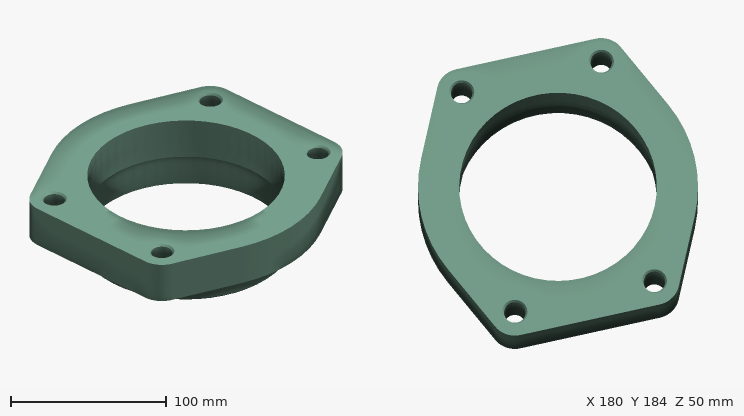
import cadquery as cq
import math

plate_length = 184.0
plate_thickness = 28.0
side_radius = 90.0
corner_radius = 16.0
hole_x = 46.0
hole_y = plate_length / 2 - corner_radius

spigot_diameter = 139.7
spigot_height = 22.0
spigot_chamfer = 1.3
root_fillet = 2.0

bore_diameter = 127.0
lower_bore_diameter = 131.7

hole_diameter = 13.8
hole_mouth_diameter = 16.2
hole_mouth_angle = 90.0

total_height = spigot_height + plate_thickness


def make_plate():
    """Round-sided plate whose sides run tangentially into four rounded corners."""
    center_distance = math.hypot(hole_x, hole_y)
    tangent_angle = math.atan2(hole_y, hole_x) - math.acos(
        (side_radius - corner_radius) / center_distance
    )
    side_x = side_radius * math.cos(tangent_angle)
    side_y = side_radius * math.sin(tangent_angle)
    corner_x = hole_x + corner_radius * math.cos(tangent_angle)
    corner_y = hole_y + corner_radius * math.sin(tangent_angle)
    middle_angle = (tangent_angle + math.pi / 2) / 2
    middle_x = hole_x + corner_radius * math.cos(middle_angle)
    middle_y = hole_y + corner_radius * math.sin(middle_angle)
    edge_y = plate_length / 2

    return (
        cq.Workplane("XY", origin=(0, 0, spigot_height))
        .moveTo(side_x, -side_y)
        .threePointArc((side_radius, 0), (side_x, side_y))
        .lineTo(corner_x, corner_y)
        .threePointArc((middle_x, middle_y), (hole_x, edge_y))
        .lineTo(-hole_x, edge_y)
        .threePointArc((-middle_x, middle_y), (-corner_x, corner_y))
        .lineTo(-side_x, side_y)
        .threePointArc((-side_radius, 0), (-side_x, -side_y))
        .lineTo(-corner_x, -corner_y)
        .threePointArc((-middle_x, -middle_y), (-hole_x, -edge_y))
        .lineTo(hole_x, -edge_y)
        .threePointArc((middle_x, -middle_y), (corner_x, -corner_y))
        .close()
        .extrude(plate_thickness)
    )


def make_spigot():
    """Round spigot, chamfered at its free end."""
    return (
        cq.Workplane("XY")
        .circle(spigot_diameter / 2)
        .extrude(spigot_height)
        .faces("<Z")
        .chamfer(spigot_chamfer)
    )


def fillet_root(body):
    """Round the inner corner between spigot and plate."""
    root_center = (0, 0, spigot_height)
    return body.edges(cq.NearestToPointSelector(root_center)).fillet(root_fillet)


def cut_bore(body):
    """Cut the bore through the plate and the wider bore through the spigot."""
    bore = cq.Workplane("XY").circle(bore_diameter / 2).extrude(total_height)
    lower_bore = cq.Workplane("XY").circle(lower_bore_diameter / 2).extrude(spigot_height)
    return body.cut(bore).cut(lower_bore)


def cut_bolt_holes(body):
    """Drill the four bolt holes and chamfer their upper mouths."""
    return (
        body.faces(">Z")
        .workplane(origin=(0, 0, total_height))
        .rect(2 * hole_x, 2 * hole_y, forConstruction=True)
        .vertices()
        .cskHole(hole_diameter, hole_mouth_diameter, hole_mouth_angle)
    )


result = make_plate().union(make_spigot())
result = fillet_root(result)
result = cut_bore(result)
result = cut_bolt_holes(result)